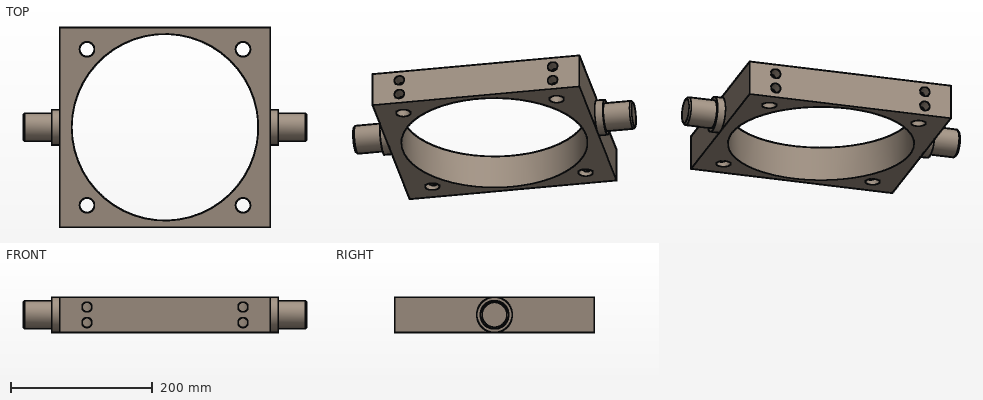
import cadquery as cq

block_length = 297.0
block_width = 282.0
block_height = 50.0
bore_diameter = 262.7

bolt_spacing = 220.0
bolt_diameter = 20.5

overall_length = 400.0
collar_diameter = block_height
journal_diameter = 40.0
journal_length = 40.0
journal_chamfer = 2.5

side_hole_diameter = 14.0
side_hole_spacing = 22.0
side_hole_depth = (block_width - bolt_spacing) / 2


def make_block():
    return (
        cq.Workplane("XY")
        .box(block_length, block_width, block_height)
        .faces(">Z")
        .workplane()
        .hole(bore_diameter)
        .faces(">Z")
        .workplane(origin=(0, 0, block_height / 2))
        .rect(bolt_spacing, bolt_spacing, forConstruction=True)
        .vertices()
        .hole(bolt_diameter)
    )


def make_trunnion(side):
    """Stub shaft on the +X (side = 1) or -X (side = -1) end of the block."""
    collar_length = (overall_length - block_length) / 2 - journal_length
    end_plane = cq.Plane(origin=(side * block_length / 2, 0, 0), xDir=(0, -1, 0), normal=(side, 0, 0))
    collar = cq.Workplane(end_plane).circle(collar_diameter / 2).extrude(collar_length)
    journal = (
        cq.Workplane(end_plane)
        .workplane(offset=collar_length)
        .circle(journal_diameter / 2)
        .extrude(journal_length)
        .faces(">X" if side > 0 else "<X")
        .chamfer(journal_chamfer)
    )
    return collar.union(journal)


def make_side_holes(side):
    """Four holes running inward from the +Y (side = 1) or -Y (side = -1) face to the bolt hole axes."""
    face_plane = cq.Plane(origin=(0, side * block_width / 2, 0), xDir=(1, 0, 0), normal=(0, side, 0))
    return (
        cq.Workplane(face_plane)
        .rect(bolt_spacing, side_hole_spacing, forConstruction=True)
        .vertices()
        .circle(side_hole_diameter / 2)
        .extrude(-side_hole_depth)
    )


result = make_block()
for side in (-1, 1):
    result = result.cut(make_side_holes(side))
    result = result.union(make_trunnion(side))